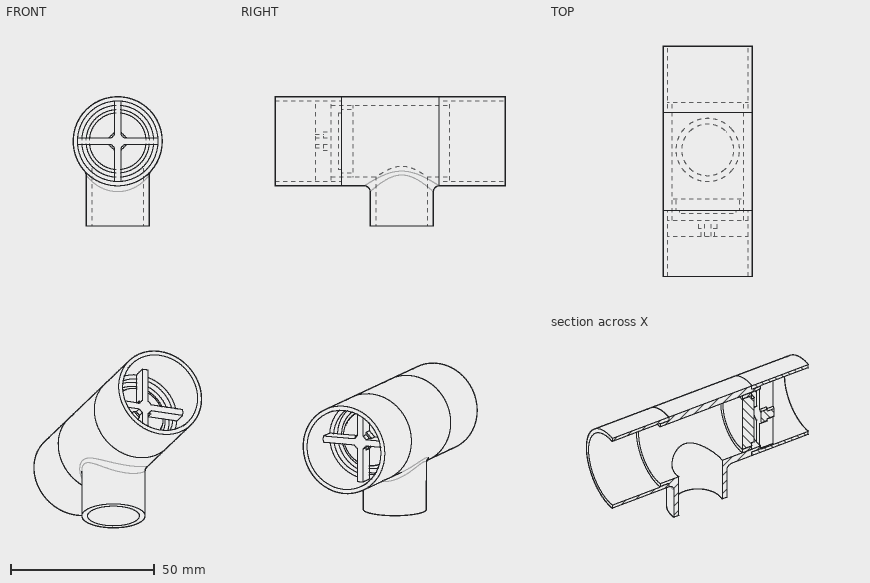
import cadquery as cq

tube_outer_diameter = 31.0
tube_length = 80.0
sleeve_length = 23.0
sleeve_bore_diameter = 28.0
tee_length = tube_length - 2 * sleeve_length

spigot_length = 3.5
tee_bore_diameter = 25.0

branch_outer_diameter = 22.0
branch_bore_diameter = 18.0
branch_center_y = 4.0
branch_bottom_z = -29.5
branch_fillet = 2.0

spider_bar_width = 2.2
spider_thickness = 5.5
hub_front_side = 4.8
hub_back_side = 6.0
hub_back_length = spider_thickness / 2

seat_bore_diameter = 22.0
valve_length = 4.0
valve_face_diameter = 19.7
valve_face_height = 1.0

front_end_y = -tube_length / 2
tee_front_y = -tee_length / 2
tee_back_y = tee_length / 2
spigot_front_y = tee_front_y - spigot_length
spider_front_y = spigot_front_y - spider_thickness
seat_front_y = tee_front_y


def rod(diameter, start_y, length):
    """A solid cylinder on the Y axis, running towards +Y from start_y."""
    start_plane = cq.Workplane("XZ", origin=(0, start_y, 0))
    return start_plane.circle(diameter / 2).extrude(-length)


def branch_rod(diameter):
    """A solid cylinder from the tube axis down to the open end of the branch."""
    bottom_plane = cq.Workplane("XY", origin=(0, branch_center_y, branch_bottom_z))
    return bottom_plane.circle(diameter / 2).extrude(-branch_bottom_z)


def make_tee():
    """Tee with a filleted branch, a through bore and a spigot at each end."""
    full_tube = rod(tube_outer_diameter, front_end_y, tube_length)
    outside = full_tube.union(branch_rod(branch_outer_diameter))
    reach = branch_outer_diameter / 2 + branch_fillet
    junction = cq.selectors.BoxSelector(
        (-reach, branch_center_y - reach, -tube_outer_diameter / 2 - branch_fillet),
        (reach, branch_center_y + reach, 0),
    )
    outside = outside.edges(junction).fillet(branch_fillet)
    trim_size = 4 * tube_outer_diameter
    outside = outside.intersect(cq.Workplane("XY").box(trim_size, tee_length, trim_size))

    spigot_span = tee_length + 2 * spigot_length
    spigots = rod(sleeve_bore_diameter, spigot_front_y, spigot_span)
    main_bore = rod(tee_bore_diameter, spigot_front_y, spigot_span)
    return outside.union(spigots).cut(main_bore).cut(branch_rod(branch_bore_diameter))


def make_sleeve(start_y):
    """Plain tube that continues the tee at one end."""
    bore = rod(sleeve_bore_diameter, start_y, sleeve_length)
    return rod(tube_outer_diameter, start_y, sleeve_length).cut(bore)


def diagonal_block(side, start_y, length):
    """A square block on the Y axis whose corners point along the spider bars."""
    start_plane = cq.Workplane("XZ", origin=(0, start_y, 0))
    block = start_plane.rect(side, side).extrude(-length)
    return block.rotate((0, 0, 0), (0, 1, 0), 45)


def make_spider():
    """Cross of two bars that spans the sleeve bore, with a stepped square hub at its centre."""
    envelope = rod(sleeve_bore_diameter, spider_front_y, spider_thickness)
    center = (0, spider_front_y + spider_thickness / 2, 0)
    middle_plane = cq.Workplane("XY", origin=center)
    cross = middle_plane.box(sleeve_bore_diameter, spider_thickness, spider_bar_width)
    cross = cross.union(middle_plane.box(spider_bar_width, spider_thickness, sleeve_bore_diameter))
    hub_front = diagonal_block(hub_front_side, spider_front_y, spider_thickness)
    hub_back = diagonal_block(hub_back_side, spigot_front_y - hub_back_length, hub_back_length)
    return envelope.intersect(cross).union(hub_front).union(hub_back)


def make_seat_ring():
    """Ring fitted in the tee bore around the valve."""
    bore = rod(seat_bore_diameter, seat_front_y, valve_length)
    return rod(tee_bore_diameter, seat_front_y, valve_length).cut(bore)


def make_valve():
    """Disc that closes the seat ring, with a raised round face."""
    disc = rod(seat_bore_diameter, seat_front_y, valve_length)
    face = rod(valve_face_diameter, seat_front_y - valve_face_height, valve_face_height)
    return disc.union(face)


tee = make_tee()
sleeves = [make_sleeve(start_y) for start_y in (front_end_y, tee_back_y)]
spider = make_spider()
seat_ring = make_seat_ring()
valve = make_valve()

result = cq.Compound.makeCompound(
    [tee.val(), *[sleeve.val() for sleeve in sleeves], spider.val(), seat_ring.val(), valve.val()]
)